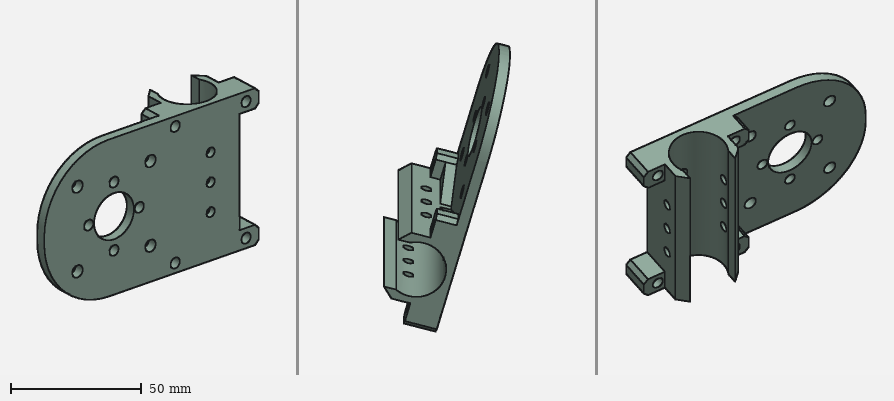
import cadquery as cq


total_depth = 24.4
total_length = 105.9
height = 66.7

bore_diameter = 22.9
bore_to_back = 14.3
arm_width = 28.6
arm_tip = 4.1
mouth_width = arm_width - 2 * arm_tip

tab_span = 47.6
tab_height = 8.7
tab_depth = 12.7
tab_chamfer = 1.9
tab_hole_spacing = 34.9
tab_hole_diameter = 4.5

rib_depth = 8.8
plate_thickness = rib_depth / 2
end_flat = 3.2
corner_radius = (height - end_flat) / 2

pattern_y = -47.6
center_hole_diameter = 19.6
near_hole_diameter = 4.4
near_offset_y = 12.5
near_offset_z = 14.5
corner_hole_diameter = 5.1
corner_offset = 18.0

screw_diameter = 4.0
screw_pitch = 12.7

back_x = bore_to_back
front_x = back_x - total_depth
tab_end_y = tab_span / 2
plate_end_y = tab_end_y - total_length
arm_y = arm_width / 2
top_z = height / 2
tab_z = top_z - tab_height / 2
tab_inner_z = top_z - tab_height


def box_between(x_range, y_range, z_range):
    """Box spanning the given (low, high) pairs."""
    lows, highs = zip(x_range, y_range, z_range)
    sizes = [high - low for low, high in zip(lows, highs)]
    return cq.Workplane("XY").box(*sizes, centered=False).translate(lows)


def holes_along_x(places, diameter):
    """Cutters through the whole depth at the given (y, z) places."""
    plane = cq.Workplane("YZ", origin=(front_x, 0, 0))
    return plane.pushPoints(places).circle(diameter / 2).extrude(total_depth)


def make_plate():
    plate = box_between((back_x - plate_thickness, back_x), (plate_end_y, arm_y), (-top_z, top_z))
    return plate.edges("|X and <Y").fillet(corner_radius)


def make_clip_body():
    """Block with two arms whose outer front corners taper to sharp tips."""
    body = box_between((front_x, back_x), (-arm_y, arm_y), (-top_z, top_z))
    return body.edges("|Z and <X").chamfer(arm_tip)


def make_tabs(z_center):
    """Bar across the clip whose two ends are the tabs at one height."""
    bar = box_between(
        (back_x - tab_depth, back_x),
        (-tab_end_y, tab_end_y),
        (z_center - tab_height / 2, z_center + tab_height / 2),
    )
    return bar.edges("|X").chamfer(tab_chamfer)


def make_rib(side):
    """Triangular rib from the clip side to the tab above (side 1) or below (side -1)."""
    outline = [
        (-arm_y, side * end_flat / 2),
        (-arm_y, side * tab_inner_z),
        (tab_chamfer - tab_end_y, side * tab_inner_z),
    ]
    plane = cq.Workplane("YZ", origin=(back_x - rib_depth, 0, 0))
    return plane.polyline(outline).close().extrude(rib_depth)


def cut_clip_bore(part):
    bore = cq.Workplane("XY").circle(bore_diameter / 2).extrude(height / 2, both=True)
    mouth = box_between((front_x, 0), (-mouth_width / 2, mouth_width / 2), (-top_z, top_z))
    return part.cut(bore).cut(mouth)


def cut_clip_screw_holes(part):
    """Three holes through the back wall and three through both arms."""
    heights = [-screw_pitch, 0, screw_pitch]
    back_holes = holes_along_x([(0, z) for z in heights], screw_diameter)
    arm_holes = (
        cq.Workplane("XZ")
        .pushPoints([(0, z) for z in heights])
        .circle(screw_diameter / 2)
        .extrude(arm_width / 2, both=True)
    )
    return part.cut(back_holes).cut(arm_holes)


def cut_tab_holes(part):
    places = [(y * tab_hole_spacing / 2, z * tab_z) for y in (-1, 1) for z in (-1, 1)]
    return part.cut(holes_along_x(places, tab_hole_diameter))


def cut_plate_holes(part):
    """Large center hole, four holes close around it and four on a square."""
    near_places = [
        (pattern_y - near_offset_y, 0),
        (pattern_y + near_offset_y, 0),
        (pattern_y, -near_offset_z),
        (pattern_y, near_offset_z),
    ]
    corner_places = [
        (pattern_y + y * corner_offset, z * corner_offset) for y in (-1, 1) for z in (-1, 1)
    ]
    part = part.cut(holes_along_x([(pattern_y, 0)], center_hole_diameter))
    part = part.cut(holes_along_x(near_places, near_hole_diameter))
    return part.cut(holes_along_x(corner_places, corner_hole_diameter))


result = make_plate().union(make_clip_body())
for side in (-1, 1):
    result = result.union(make_tabs(side * tab_z)).union(make_rib(side))
result = cut_clip_bore(result)
result = cut_clip_screw_holes(result)
result = cut_tab_holes(result)
result = cut_plate_holes(result)